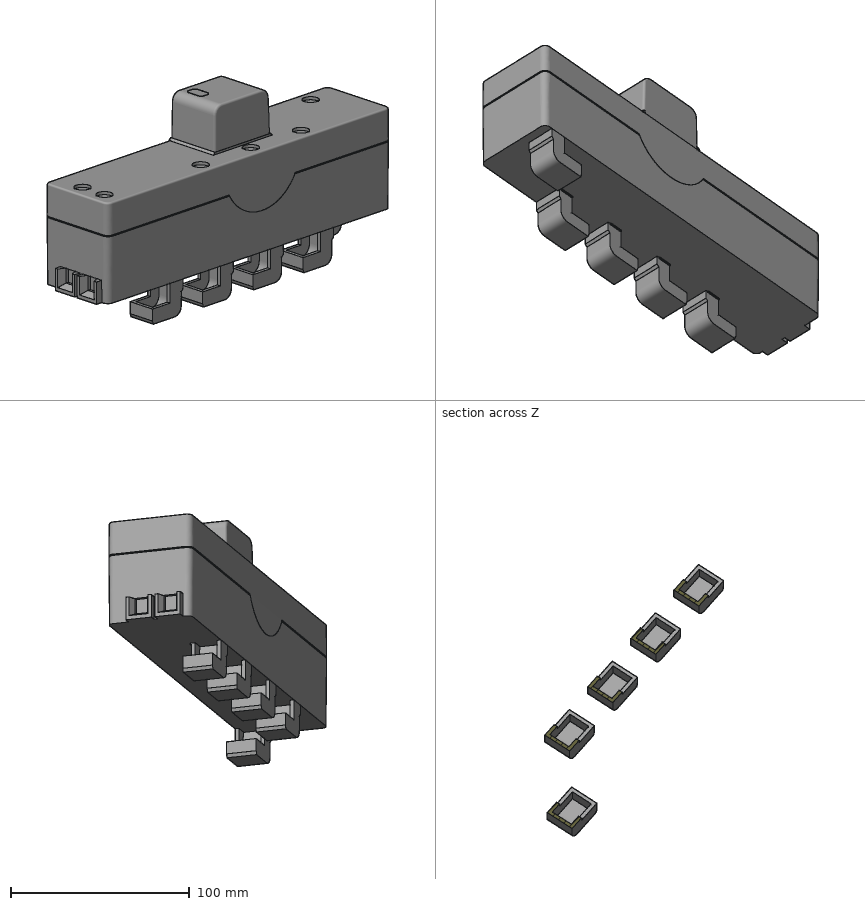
import cadquery as cq
import math

overall_length = 229.8
terminal_depth = 4.0
length = overall_length - terminal_depth
width = 50.3
back_y = overall_length / 2
mid_y = back_y - length / 2
front_y = back_y - length
bottom_z = 21.0
parting_z = 61.5
top_z = 80.9
corner_radius = 4.0
draft_angle = 0.5
top_rounding = 1.1
seam_height = 0.7
seam_depth = 0.2

pole_pitch = 40.0
pole_count = 5
first_pole_y = 92.1
hole_radius = 4.8
hole_depth = 1.8

terminal_xs = (-4.8, 12.5)
terminal_hole_y = -100.9
terminal_width = 15.2
terminal_top_z = 34.2
terminal_root = 2.3
terminal_wall = 1.8
terminal_floor = 2.3
terminal_step = 2.0
terminal_funnel_depth = 4.5
terminal_pocket_depth = 6.5

pad_radius = 29.9
pad_y = 12.0
pad_bottom_z = 45.7

handle_side_x = -24.8
handle_right_x = 10.0
handle_right_draft = 0.7
handle_base_length = 44.3
handle_y = 11.7
handle_end_draft = 0.7
handle_top_z = 109.1
handle_end_radius = 5.7
handle_rounding = 1.4
handle_skirt = 1.4
handle_root_z = top_z - 2.3
window_size = (12.2, 7.4)
window_x = -13.8
window_y = 0.2
window_depth = 0.2
window_rounding = 2.3

hook_side_x = 24.8
hook_width = 17.7
pole_x = hook_side_x - hook_width / 2
hook_neck = 9.0
hook_foot_thickness = 9.2
hook_foot_length = 14.0
hook_neck_offset = 6.7
hook_heel_radius = 5.5
hook_toe_bevel = 2.0
hook_toe_inset = 0.7
barb_out = 1.4
barb_z = 15.2
hook_pocket_width = 13.0
hook_pocket_floor_z = 1.8
hook_pocket_wall = 2.3
hook_pocket_lip = 2.3
hook_pocket_radius = 6.7
hook_pocket_slope_z = 16.0
collar_height = 0.7
collar_width = 0.7


def box(x_min, x_max, y_min, y_max, z_min, z_max):
    size = (x_max - x_min, y_max - y_min, z_max - z_min)
    return cq.Workplane("XY").box(*size, centered=False).translate((x_min, y_min, z_min))


def rounded_slab(inset, z, height, taper=0.0):
    """Housing outline, offset inwards, extruded from z by a signed height."""
    outline = cq.Sketch().rect(width - 2 * inset, length - 2 * inset)
    outline = outline.vertices().fillet(corner_radius - inset)
    plane = cq.Workplane("XY", origin=(0, mid_y, z))
    return plane.placeSketch(outline).extrude(height, taper=taper)


def make_housing():
    base = rounded_slab(0, parting_z, bottom_z - parting_z, draft_angle)
    cover = rounded_slab(0, parting_z, top_z - parting_z, draft_angle)
    cover = cover.faces(">Z").edges().fillet(top_rounding)
    seam_z = parting_z - seam_height
    outside = rounded_slab(-seam_depth, seam_z, seam_height)
    seam = outside.cut(rounded_slab(seam_depth, seam_z, seam_height))
    return base.union(cover).cut(seam)


def make_pads():
    """Vertical half-moon pads that fill the side draft below the parting line."""
    disc = (
        cq.Workplane("YZ", origin=(-width / 2, pad_y, pad_bottom_z + pad_radius))
        .circle(pad_radius)
        .extrude(width)
    )
    below_parting = box(-width, width, pad_y - pad_radius, pad_y + pad_radius, bottom_z, parting_z)
    return disc.intersect(below_parting)


def make_handle():
    half = handle_base_length / 2
    half_top = half - handle_end_draft
    end_profile = (
        cq.Workplane("YZ", origin=(handle_side_x, handle_y, 0))
        .polyline([
            (-half, handle_root_z), (half, handle_root_z),
            (half_top, handle_top_z), (-half_top, handle_top_z),
        ])
        .close()
        .extrude(handle_right_x - handle_side_x)
        .faces(">Z").edges("|X").fillet(handle_end_radius)
    )
    side_profile = (
        cq.Workplane("XZ", origin=(0, handle_y + half, 0))
        .polyline([
            (handle_side_x, handle_root_z), (handle_right_x, handle_root_z),
            (handle_right_x - handle_right_draft, handle_top_z), (handle_side_x, handle_top_z),
        ])
        .close()
        .extrude(handle_base_length)
    )
    handle = end_profile.intersect(side_profile)
    handle = handle.faces("<X or >X").edges("not <Z").fillet(handle_rounding)

    skirt = (
        cq.Workplane("YZ", origin=(handle_side_x, handle_y, top_z))
        .polyline([
            (-half - handle_skirt, 0), (half + handle_skirt, 0),
            (half, handle_skirt), (-half, handle_skirt),
        ])
        .close()
        .extrude(handle_right_x - handle_side_x)
    )
    window = (
        cq.Workplane("XY", origin=(window_x, window_y, handle_top_z - window_depth))
        .rect(*window_size)
        .extrude(window_depth)
        .edges("|Z").fillet(window_rounding)
    )
    return handle.union(skirt).cut(window)


def make_hook(x, pole_y):
    """L-shaped busbar hook whose foot points to -Y, hollowed along its inner corner."""
    neck_front = pole_y + hook_neck_offset
    neck_back = neck_front + hook_neck
    toe_y = neck_front - hook_foot_length
    heel = hook_heel_radius * (1 - math.sqrt(0.5))
    profile = (
        cq.Workplane("YZ", origin=(x - hook_width / 2, 0, 0))
        .moveTo(neck_front, bottom_z)
        .lineTo(neck_front, hook_foot_thickness)
        .lineTo(toe_y, hook_foot_thickness)
        .lineTo(toe_y, hook_toe_bevel)
        .lineTo(toe_y + hook_toe_inset, 0)
        .lineTo(neck_back - hook_heel_radius, 0)
        .threePointArc((neck_back - heel, heel), (neck_back, hook_heel_radius))
        .lineTo(neck_back, barb_z - barb_out)
        .lineTo(neck_back + barb_out, barb_z)
        .lineTo(neck_back + barb_out, bottom_z)
        .close()
        .extrude(hook_width)
    )
    wall_y = neck_back - hook_pocket_wall
    bend = hook_pocket_radius * (1 - math.sqrt(0.5))
    bend_top_z = hook_pocket_floor_z + hook_pocket_radius
    pocket = (
        cq.Workplane("YZ", origin=(x - hook_pocket_width / 2, 0, 0))
        .moveTo(toe_y + hook_pocket_lip, bottom_z)
        .lineTo(toe_y + hook_pocket_lip, hook_pocket_floor_z)
        .lineTo(wall_y - hook_pocket_radius, hook_pocket_floor_z)
        .threePointArc((wall_y - bend, hook_pocket_floor_z + bend), (wall_y, bend_top_z))
        .lineTo(wall_y, hook_pocket_slope_z)
        .lineTo(wall_y + barb_out, bottom_z)
        .close()
        .extrude(hook_pocket_width)
    )
    inward = -math.copysign(collar_width, x)
    collar_center = x + inward / 2
    collar_half = (hook_width + collar_width) / 2
    collar = box(
        collar_center - collar_half, collar_center + collar_half,
        neck_front, neck_back, bottom_z - collar_height, bottom_z,
    )
    return profile.union(collar).cut(pocket)


def make_terminal(x):
    """Solid terminal block on the front end, rooted in the housing."""
    half = terminal_width / 2
    return box(
        x - half, x + half, front_y - terminal_depth, front_y + terminal_root,
        bottom_z, terminal_top_z,
    )


def terminal_opening(x):
    """Funnel that narrows from the mouth into a straight pocket, open at the top."""
    mouth_width = terminal_width - 2 * terminal_wall
    throat_width = mouth_width - 2 * terminal_step
    mouth_floor = bottom_z + terminal_floor
    throat_floor = mouth_floor + terminal_step
    mouth_height = terminal_top_z - mouth_floor
    throat_height = terminal_top_z - throat_floor
    mouth_y = front_y - terminal_depth
    funnel = (
        cq.Workplane("XZ", origin=(x, mouth_y, 0))
        .center(0, mouth_floor + mouth_height / 2)
        .rect(mouth_width, mouth_height)
        .workplane(offset=-terminal_funnel_depth)
        .center(0, (throat_floor - mouth_floor) / 2)
        .rect(throat_width, throat_height)
        .loft(ruled=True)
    )
    pocket = box(
        x - throat_width / 2, x + throat_width / 2, mouth_y, mouth_y + terminal_pocket_depth,
        throat_floor, terminal_top_z,
    )
    return funnel.union(pocket)


def access_hole(x, y):
    return cq.Workplane("XY", origin=(x, y, top_z - hole_depth)).circle(hole_radius).extrude(hole_depth)


pole_ys = [first_pole_y - i * pole_pitch for i in range(pole_count)]

result = make_housing().union(make_pads()).union(make_handle())
for index, pole_y in enumerate(pole_ys):
    x = -pole_x if index == 0 else pole_x
    result = result.union(make_hook(x, pole_y))
    if index < pole_count - 1:
        result = result.cut(access_hole(x, pole_y))
for x in terminal_xs:
    result = result.union(make_terminal(x)).cut(terminal_opening(x))
    result = result.cut(access_hole(x, terminal_hole_y))